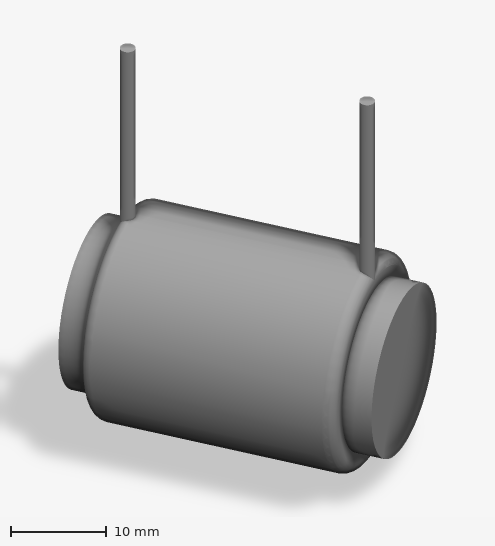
import cadquery as cq

core_length = 35.05
core_diameter = 18.9
winding_length = 28.45
winding_diameter = 23.88
edge_radius = 1.3
lead_diameter = 1.65
overall_height = 45.34

lead_top = overall_height - winding_diameter / 2
lead_offset = (winding_length - lead_diameter) / 2


def rod_along_x(diameter, length):
    return cq.Workplane("YZ").workplane(offset=-length / 2).circle(diameter / 2).extrude(length)


def make_winding():
    return rod_along_x(winding_diameter, winding_length).edges("%CIRCLE").fillet(edge_radius)


def make_lead(x_position):
    return cq.Workplane("XY").center(x_position, 0).circle(lead_diameter / 2).extrude(lead_top)


result = rod_along_x(core_diameter, core_length).union(make_winding())
for side in (-1, 1):
    result = result.union(make_lead(side * lead_offset))